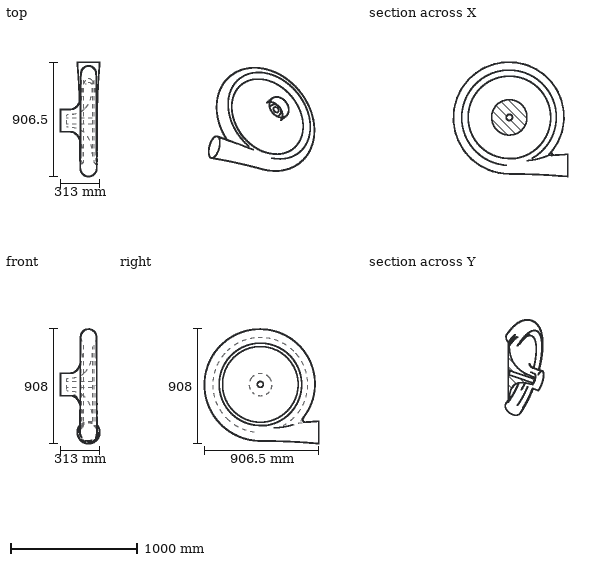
import cadquery as cq
import math

wall = 2.0
outlet_radius = 90.0
inlet_radius = 90.0

volute_inner_radius = 310.5
volute_end_radius = 69.0
volute_growth = 10.0
volute_start_angle = 8
volute_spans = 16
outlet_length = 463.0
outlet_axis_z = -(volute_inner_radius + volute_end_radius)
tongue_fillet = 20.0

mouth_x = -223.0
pipe_end_x = -143.0
bell_start_x = -113.5
bell_start_radius = 97.0
bell_middle_x = -66.0
bell_middle_radius = 163.0
bell_end_radius = 345.0
side_wall_x = 42.0

nose_depth = 48.0
nose_x = mouth_x + nose_depth
nose_radius = 49.0
nose_fillet = 9.0
bore_radius = 24.0
impeller_radius = 300.0
impeller_rim_thickness = 11.0


def channel_radius(angle):
    """Outer radius of the volute channel at an angle in degrees from the outlet joint."""
    return volute_end_radius - volute_growth * (1 - angle / 360)


def volute_channel(inset):
    """Spiral channel, with its surface moved inward by the inset and its seam on the inlet side."""
    span_angle = (360 - volute_start_angle) / volute_spans
    sections = []
    for index in range(volute_spans + 1):
        angle = volute_start_angle + index * span_angle
        radius = channel_radius(angle)
        center_distance = volute_inner_radius + radius
        turn = math.radians(angle)
        center = cq.Vector(0, center_distance * math.sin(turn), -center_distance * math.cos(turn))
        flow_direction = cq.Vector(0, -math.cos(turn), -math.sin(turn))
        section_plane = cq.Plane(center, xDir=(-1, 0, 0), normal=flow_direction)
        circle = cq.Edge.makeCircle(radius - inset)
        sections.append(cq.Wire.assembleEdges([circle]).moved(section_plane.location))
    return cq.Workplane(cq.Solid.makeLoft(sections))


def outlet_pipe(inset):
    """Pipe that leaves the volute along +Y and flares gently up to its mouth."""
    mouth_direction = (-2 * (outlet_radius - volute_end_radius), outlet_length)
    return (
        cq.Workplane("XY", origin=(0, 0, outlet_axis_z))
        .lineTo(inset - volute_end_radius, 0)
        .spline(
            [(inset - outlet_radius, outlet_length)],
            tangents=[(0, 1), mouth_direction],
            includeCurrent=True,
        )
        .lineTo(0, outlet_length)
        .close()
        .revolve(360, (0, 0), (0, 1))
    )


def inlet_and_side_walls(inset):
    """Inlet pipe, bell-shaped front wall and flat back wall, as one turned shape about X."""
    transition_length = bell_start_x - pipe_end_x
    transition_rise = bell_start_radius - inlet_radius
    bell_start_slope = 2 * math.atan2(transition_rise, transition_length)
    bell_start_direction = (math.cos(bell_start_slope), math.sin(bell_start_slope))
    back_x = side_wall_x - inset
    end_radius = bell_end_radius - inset
    return (
        cq.Workplane("XY")
        .moveTo(mouth_x, 0)
        .lineTo(mouth_x, inlet_radius - inset)
        .lineTo(pipe_end_x + inset, inlet_radius - inset)
        .tangentArcPoint((bell_start_x + inset, bell_start_radius - inset), relative=False)
        .spline(
            [
                (bell_middle_x + inset, bell_middle_radius - inset),
                (-back_x, end_radius),
            ],
            tangents=[bell_start_direction, (0, 1)],
            includeCurrent=True,
        )
        .lineTo(back_x, end_radius)
        .lineTo(back_x, 0)
        .close()
        .revolve(360, (0, 0), (1, 0))
    )


def tongue_region():
    """Selects the edges between the small end of the channel and the outlet pipe."""
    outlet_side_y = volute_end_radius / 2
    return cq.selectors.BoxSelector(
        (-outlet_radius, outlet_side_y, outlet_axis_z),
        (outlet_radius, outlet_length - outlet_radius, outlet_axis_z + outlet_radius),
        boundingbox=True,
    )


def make_housing():
    """Thin-walled casing, open at the inlet and at the outlet."""
    ducts = volute_channel(0).union(outlet_pipe(0))
    outside = ducts.union(inlet_and_side_walls(0))
    outside = outside.edges(tongue_region()).fillet(tongue_fillet)
    cavity = volute_channel(wall).union(outlet_pipe(wall)).union(inlet_and_side_walls(wall))
    return outside.cut(cavity)


def make_impeller():
    """Trumpet-shaped hub with a rounded nose and a bore, standing on the back wall."""
    back_x = side_wall_x - wall
    return (
        cq.Workplane("XY")
        .moveTo(nose_x, bore_radius)
        .lineTo(nose_x, nose_radius - nose_fillet)
        .radiusArc((nose_x + nose_fillet, nose_radius), nose_fillet)
        .spline(
            [(back_x - impeller_rim_thickness, impeller_radius)],
            tangents=[(1, 0), (0, 1)],
            includeCurrent=True,
        )
        .lineTo(back_x, impeller_radius)
        .lineTo(back_x, bore_radius)
        .close()
        .revolve(360, (0, 0), (1, 0))
    )


housing = make_housing()
impeller = make_impeller()

result = cq.Compound.makeCompound([housing.val(), impeller.val()])